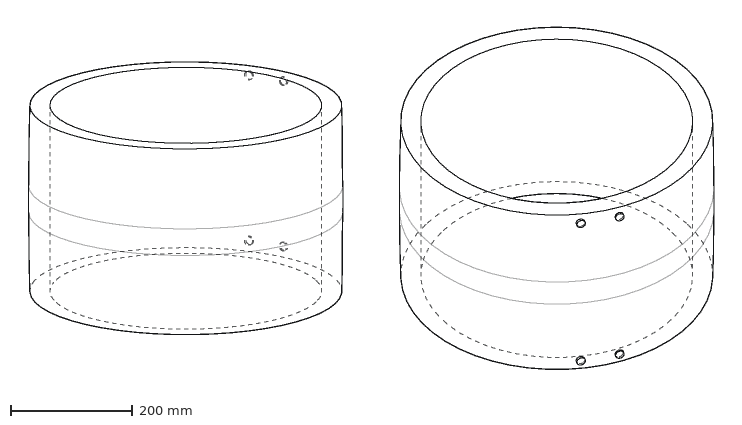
import cadquery as cq
import math

outer_radius = 260.0
end_radius = 258.0
bore_radius = 224.5
height = 320.0
band_height = 46.0
half_height = height / 2
half_band = band_height / 2

crown_length = half_height - half_band
crown_drop = outer_radius - end_radius
crown_arc_radius = (crown_length**2 + crown_drop**2) / (2 * crown_drop)
crown_mid_z = half_band + crown_length / 2
crown_mid_drop = crown_arc_radius - math.sqrt(crown_arc_radius**2 - (crown_length / 2) ** 2)
crown_mid_radius = outer_radius - crown_mid_drop

stud_diameter = 14.5
stud_spacing = 66.5
stud_end_distance = 17.5
stud_root_y = (bore_radius + end_radius) / 2


def make_sleeve():
    """Straight middle band, slightly crowned towards both ends, and a straight bore."""
    return (
        cq.Workplane("XZ")
        .moveTo(bore_radius, -half_height)
        .lineTo(end_radius, -half_height)
        .threePointArc((crown_mid_radius, -crown_mid_z), (outer_radius, -half_band))
        .lineTo(outer_radius, half_band)
        .threePointArc((crown_mid_radius, crown_mid_z), (end_radius, half_height))
        .lineTo(bore_radius, half_height)
        .close()
        .revolve(360, (0, 0, 0), (0, 1, 0))
    )


def make_studs():
    """Four flat-topped studs whose faces are tangent to the outer radius."""
    stud_level = half_height - stud_end_distance
    return (
        cq.Workplane("XZ", origin=(0, outer_radius, 0))
        .rarray(stud_spacing, 2 * stud_level, 2, 2)
        .circle(stud_diameter / 2)
        .extrude(outer_radius - stud_root_y)
    )


result = make_sleeve().union(make_studs())